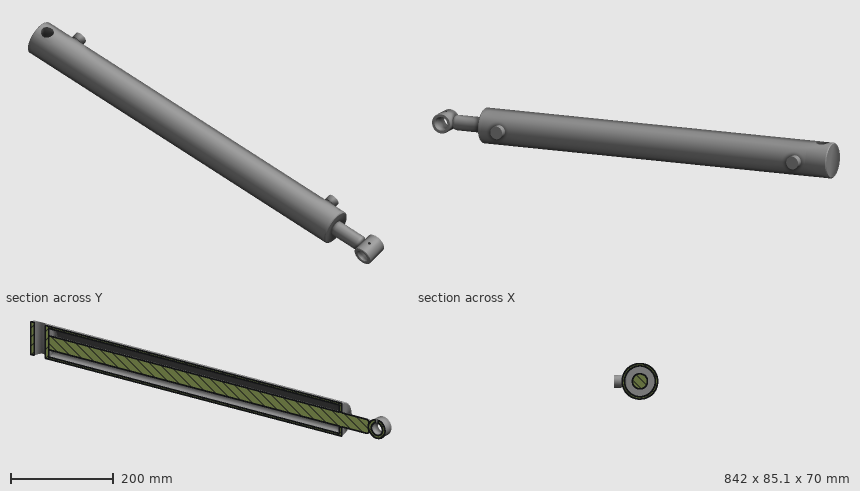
import cadquery as cq

overall_length = 842.0

barrel_diameter = 70.0
bore_diameter = 59.0
base_length = 44.0
gland_start = 732.0
barrel_end = 739.0
end_chamfer = 2.0

pin_diameter = 25.0
base_pin_x = base_length / 2

rod_diameter = 30.0
rod_end = 805.0
rod_end_radius = 8.0

eye_diameter = 39.5
eye_width = 45.0
eye_chamfer = 1.3
grease_hole_diameter = 6.0
eye_x = overall_length - eye_diameter / 2

port_diameter = 25.0
port_neck_diameter = 22.0
port_positions = (65.0, 693.0)
port_face_y = 50.1
port_head_y = 36.0


def cylinder_along_x(start, end, diameter):
    """Solid cylinder on the main axis between two X stations."""
    return cq.Workplane("YZ", origin=(start, 0, 0)).circle(diameter / 2).extrude(end - start)


def cylinder_along_y(x, start, end, diameter):
    """Solid cylinder across the main axis at station x, between two Y values."""
    return cq.Workplane("XZ", origin=(x, end, 0)).circle(diameter / 2).extrude(end - start)


def cylinder_along_z(x, start, end, diameter):
    """Solid vertical cylinder at station x, between two Z values."""
    return cq.Workplane("XY", origin=(x, 0, start)).circle(diameter / 2).extrude(end - start)


def cylinder_across_eye(diameter):
    """Solid cylinder on the eye's own axis, as wide as the eye."""
    return cylinder_along_y(eye_x, -eye_width / 2, eye_width / 2, diameter)


def make_base():
    """Solid end plug with a vertical pin hole."""
    plug = cylinder_along_x(0, base_length, barrel_diameter).faces("<X").chamfer(end_chamfer)
    pin_hole = cylinder_along_z(base_pin_x, -barrel_diameter / 2, barrel_diameter / 2, pin_diameter)
    return plug.cut(pin_hole)


def make_tube():
    """Barrel tube between the base and the gland."""
    outside = cylinder_along_x(base_length, gland_start, barrel_diameter)
    return outside.cut(cylinder_along_x(base_length, gland_start, bore_diameter))


def make_gland():
    """End ring that guides the rod, chamfered on its outer rim."""
    disc = cylinder_along_x(gland_start, barrel_end, barrel_diameter).faces(">X").chamfer(end_chamfer)
    return disc.cut(cylinder_along_x(gland_start, barrel_end, rod_diameter))


def make_rod():
    """Rod from the base to the eye, hollowed at its end to seat on the eye."""
    bar = cylinder_along_x(base_length, rod_end, rod_diameter).faces(">X").fillet(rod_end_radius)
    return bar.cut(cylinder_across_eye(eye_diameter))


def make_eye():
    """Cross tube with chamfered rims and a grease hole in its top wall."""
    eye = cylinder_across_eye(eye_diameter).cut(cylinder_across_eye(pin_diameter))
    eye = eye.faces("<Y or >Y").chamfer(eye_chamfer)
    return eye.cut(cylinder_along_z(eye_x, 0, eye_diameter / 2, grease_hole_diameter))


def make_port(x):
    """Port whose neck is saddled onto the barrel."""
    neck = cylinder_along_y(x, 0, port_head_y, port_neck_diameter)
    head = cylinder_along_y(x, port_head_y, port_face_y, port_diameter)
    return neck.union(head).cut(cylinder_along_x(0, barrel_end, barrel_diameter))


base = make_base()
tube = make_tube()
gland = make_gland()
rod = make_rod()
eye = make_eye()
ports = [make_port(x) for x in port_positions]

result = cq.Compound.makeCompound(
    [base.val(), tube.val(), gland.val(), rod.val(), eye.val(), *[port.val() for port in ports]]
)